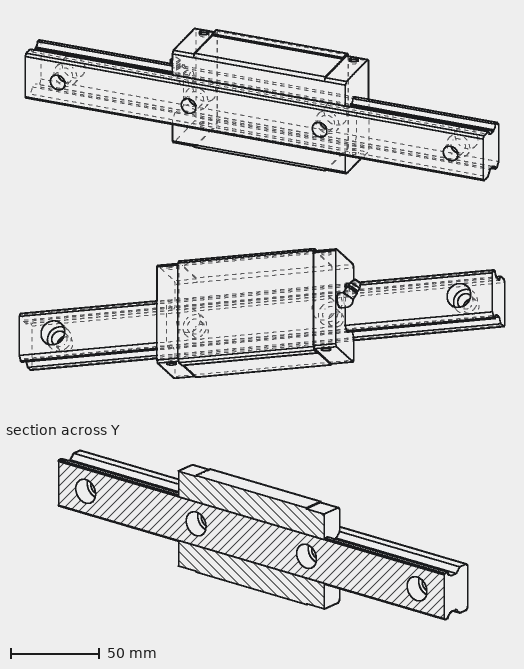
import cadquery as cq
import math


RAIL_LENGTH = 280.0
RAIL_HALF_WIDTH = 14.0
RAIL_HEIGHT = 23.0
BASE_CHAMFER = 1.5
FLANK_TOP_Y = 7.3
WAIST_START_Y = 10.5
WAIST_END_Y = 14.8
WAIST_HALF_WIDTH = 11.0
RACEWAY_START_Y = 15.7
RACEWAY_START_HALF_WIDTH = 11.5
RACEWAY_END_Y = 18.0
RACEWAY_SAG = 0.42
HEAD_SHOULDER_Y = 20.5
HEAD_TOP_HALF_WIDTH = 11.5

BOLT_COUNT = 4
BOLT_PITCH = 80.0
BOLT_DIAMETER = 9.0
COUNTERBORE_DIAMETER = 14.0
COUNTERBORE_DEPTH = 12.0

BLOCK_LENGTH = 80.0
BLOCK_HALF_WIDTH = 30.0
BLOCK_TOP_Y = 42.0
BLOCK_CHAMFER = 1.7
LEDGE_Y = 34.5
LEDGE_DEPTH = 0.5
LEDGE_SLOPE_HEIGHT = 0.8
CARRIAGE_BOTTOM_Y = 7.0
CARRIAGE_LENGTH = 105.8
CAP_HALF_WIDTH = 28.8
CAP_TOP_Y = 41.0
CAP_CHAMFER = 1.5
SKIRT_CHAMFER_WIDTH = 1.7
SKIRT_CHAMFER_HEIGHT = 1.5

PORT_DIAMETER = 5.3
PORT_DEPTH = 1.0
PORT_SPACING = 91.5
PORT_Y = 36.0

NIPPLE_Y = 34.0
NIPPLE_TILT = 55.0
NIPPLE_STANDOFF = 3.5
ELBOW_RADIUS = 4.2
COLLAR_RADIUS = 3.5
COLLAR_END = 6.7
NECK_RADIUS = 2.8
NECK_END = 7.8
HEAD_RADIUS = 3.0
HEAD_END = 9.8
TIP_RADIUS = 2.0
TIP_END = 12.5


def centred_along_x(section, length):
    """Extrude a closed (Y, Z) section at X = 0 equally both ways along X."""
    return section.extrude(length / 2, both=True)


def rail_bar():
    """Plain rail bar without its holes."""
    raceway_mid_y = (RACEWAY_START_Y + RACEWAY_END_Y) / 2 + RACEWAY_SAG
    raceway_mid_z = (RACEWAY_START_HALF_WIDTH + RAIL_HALF_WIDTH) / 2 - RACEWAY_SAG
    section = (
        cq.Workplane("YZ")
        .moveTo(0, 0)
        .lineTo(0, RAIL_HALF_WIDTH - BASE_CHAMFER)
        .lineTo(BASE_CHAMFER, RAIL_HALF_WIDTH)
        .lineTo(FLANK_TOP_Y, RAIL_HALF_WIDTH)
        .lineTo(WAIST_START_Y, WAIST_HALF_WIDTH)
        .lineTo(WAIST_END_Y, WAIST_HALF_WIDTH)
        .lineTo(RACEWAY_START_Y, RACEWAY_START_HALF_WIDTH)
        .threePointArc((raceway_mid_y, raceway_mid_z), (RACEWAY_END_Y, RAIL_HALF_WIDTH))
        .lineTo(HEAD_SHOULDER_Y, RAIL_HALF_WIDTH)
        .lineTo(RAIL_HEIGHT, HEAD_TOP_HALF_WIDTH)
        .lineTo(RAIL_HEIGHT, 0)
        .mirrorX()
    )
    return centred_along_x(section, RAIL_LENGTH)


def make_rail():
    """Rail with a row of bolt holes, counterbored from the head."""
    return (
        rail_bar()
        .copyWorkplane(cq.Workplane("XZ", origin=(0, RAIL_HEIGHT, 0)))
        .transformed(rotate=(180, 0, 0))
        .rarray(BOLT_PITCH, 2.8, BOLT_COUNT, 1)
        .cboreHole(BOLT_DIAMETER, COUNTERBORE_DIAMETER, COUNTERBORE_DEPTH)
    )


def end_cap_bar():
    """Bar over the full carriage length that leaves the two end caps outside the block."""
    section = (
        cq.Workplane("YZ")
        .moveTo(CARRIAGE_BOTTOM_Y, 0)
        .lineTo(CARRIAGE_BOTTOM_Y, CAP_HALF_WIDTH - SKIRT_CHAMFER_WIDTH)
        .lineTo(CARRIAGE_BOTTOM_Y + SKIRT_CHAMFER_HEIGHT, CAP_HALF_WIDTH)
        .lineTo(CAP_TOP_Y - CAP_CHAMFER, CAP_HALF_WIDTH)
        .lineTo(CAP_TOP_Y, CAP_HALF_WIDTH - CAP_CHAMFER)
        .lineTo(CAP_TOP_Y, 0)
        .mirrorX()
    )
    return centred_along_x(section, CARRIAGE_LENGTH)


def centre_block():
    """Middle block, slightly larger than the end caps, with a ledge along each side."""
    lower_half_width = BLOCK_HALF_WIDTH - LEDGE_DEPTH
    section = (
        cq.Workplane("YZ")
        .moveTo(CARRIAGE_BOTTOM_Y, 0)
        .lineTo(CARRIAGE_BOTTOM_Y, CAP_HALF_WIDTH - SKIRT_CHAMFER_WIDTH)
        .lineTo(CARRIAGE_BOTTOM_Y + SKIRT_CHAMFER_HEIGHT, lower_half_width)
        .lineTo(LEDGE_Y - LEDGE_SLOPE_HEIGHT, lower_half_width)
        .lineTo(LEDGE_Y, BLOCK_HALF_WIDTH)
        .lineTo(BLOCK_TOP_Y - BLOCK_CHAMFER, BLOCK_HALF_WIDTH)
        .lineTo(BLOCK_TOP_Y, BLOCK_HALF_WIDTH - BLOCK_CHAMFER)
        .lineTo(BLOCK_TOP_Y, 0)
        .mirrorX()
    )
    return centred_along_x(section, BLOCK_LENGTH)


def cap_ports():
    """Shallow port cutters, one in each side of each end cap."""
    port_x = PORT_SPACING / 2
    floor_z = CAP_HALF_WIDTH - PORT_DEPTH
    upper_ports = (
        cq.Workplane("XY", origin=(0, 0, floor_z))
        .pushPoints([(-port_x, PORT_Y), (port_x, PORT_Y)])
        .circle(PORT_DIAMETER / 2)
        .extrude(PORT_DEPTH)
    )
    return upper_ports.add(upper_ports.mirror("XY")).combine()


def make_carriage():
    """Block and end caps as one body, with a channel that matches the rail."""
    return end_cap_bar().union(centre_block()).cut(rail_bar()).cut(cap_ports())


def make_nipple(carriage):
    """Short stub, ball elbow and stepped round fitting, trimmed flush to the end cap face."""
    collar_start = math.sqrt(ELBOW_RADIUS**2 - COLLAR_RADIUS**2)
    fitting = (
        cq.Workplane("XY")
        .moveTo(0, -ELBOW_RADIUS)
        .threePointArc((ELBOW_RADIUS, 0), (COLLAR_RADIUS, collar_start))
        .lineTo(COLLAR_RADIUS, COLLAR_END)
        .lineTo(NECK_RADIUS, COLLAR_END)
        .lineTo(NECK_RADIUS, NECK_END)
        .lineTo(HEAD_RADIUS, NECK_END)
        .lineTo(HEAD_RADIUS, HEAD_END)
        .lineTo(TIP_RADIUS, TIP_END)
        .lineTo(0, TIP_END)
        .close()
        .revolve(360, (0, 0), (0, 1))
        .rotate((0, 0, 0), (0, 0, 1), 90)
        .rotate((0, 0, 0), (0, 1, 0), NIPPLE_TILT)
    )
    elbow_x = -CARRIAGE_LENGTH / 2 - NIPPLE_STANDOFF
    stub = cq.Workplane("YZ").circle(ELBOW_RADIUS).extrude(NIPPLE_STANDOFF)
    return fitting.union(stub).translate((elbow_x, NIPPLE_Y, 0)).cut(carriage)


rail = make_rail()
carriage = make_carriage()
nipple = make_nipple(carriage)

result = cq.Compound.makeCompound([rail.val(), carriage.val(), nipple.val()])